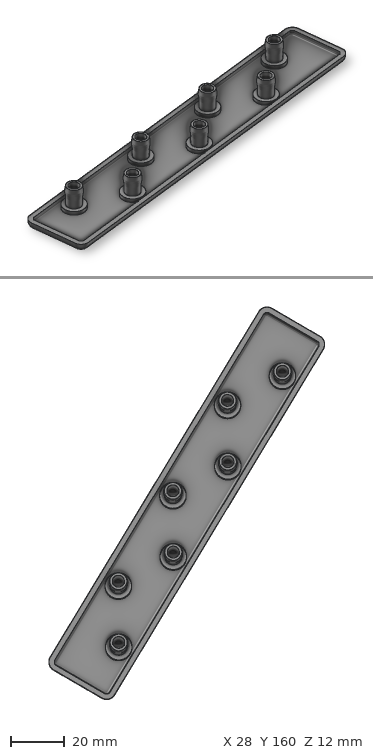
import cadquery as cq

tray_width = 28.0
tray_length = 160.0
tray_height = 4.0
corner_radius = 3.5
underside_radius = 3.5
wall = 2.0
floor_thickness = 2.0
inner_corner_radius = corner_radius - wall
floor_fillet = 1.0

stud_count = 7
stud_pitch = 20.0
row_spacing = 12.0
row_offset = row_spacing / 2
flange_radius = 5.0
flange_top = 3.5
stud_radius = 3.2
bead_radius = 3.5
stud_top = 12.0
bead_top = 10.0
bead_bottom = 9.1
shank_top = 7.0
bore_radius = 2.2
bore_bottom = floor_thickness


def make_tray():
    """Pan with its underside on Z = 0 and its rim facing up."""
    body = (
        cq.Workplane("XY")
        .box(tray_width, tray_length, tray_height, centered=(True, True, False))
        .edges("|Z")
        .fillet(corner_radius)
        .faces("<Z")
        .edges()
        .fillet(underside_radius)
    )
    cavity = (
        cq.Workplane("XY")
        .workplane(offset=floor_thickness)
        .box(
            tray_width - 2 * wall,
            tray_length - 2 * wall,
            tray_height,
            centered=(True, True, False),
        )
        .edges("|Z")
        .fillet(inner_corner_radius)
        .faces("<Z")
        .edges()
        .fillet(floor_fillet)
    )
    return body.cut(cavity)


def make_stud():
    """Flange, post with a snap bead, and a blind bore with a hemispherical end, about the Z axis."""
    base = floor_thickness / 2
    return (
        cq.Workplane("XZ")
        .moveTo(0, base)
        .lineTo(flange_radius, base)
        .lineTo(flange_radius, flange_top)
        .lineTo(stud_radius, flange_top)
        .lineTo(stud_radius, shank_top)
        .lineTo(bead_radius, bead_bottom)
        .lineTo(bead_radius, bead_top)
        .lineTo(stud_radius, stud_top)
        .lineTo(bore_radius, stud_top)
        .lineTo(bore_radius, bore_bottom + bore_radius)
        .radiusArc((0, bore_bottom), bore_radius)
        .close()
        .revolve(360, (0, 0), (0, 1))
    )


result = make_tray()
stud = make_stud()
for index in range(stud_count):
    x = -row_offset if index % 2 == 0 else row_offset
    y = (index - (stud_count - 1) / 2) * stud_pitch
    result = result.union(stud.translate((x, y, 0)))